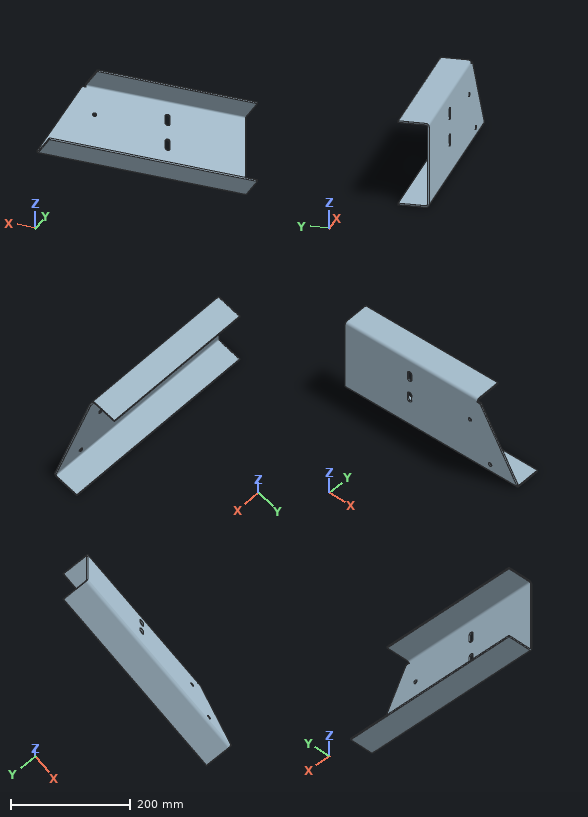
import cadquery as cq
import math

length = 377.33
depth = 53.98
height = 152.4
thickness = 3.175
inner_bend_radius = 3.175
outer_bend_radius = inner_bend_radius + thickness

rake_angle = math.radians(60)
web_bottom = outer_bend_radius
web_top = height - outer_bend_radius
web_top_length = length - (web_top - web_bottom) / math.tan(rake_angle)
web_corner_relief = outer_bend_radius
upper_flange_length = web_top_length - web_corner_relief

slot_count = 2
slot_width = 9.0
slot_length = 21.0
slot_angle = 90
slot_x = 141.7
lower_slot_z = 66.675
slot_spacing = 47.625

hole_count = 2
hole_diameter = 6.73
lower_hole_x = 318.7
lower_hole_z = 19.05
hole_spacing = 88.9


def box_between(x_range, y_range, z_range):
    """Axis-aligned block spanning the three given ranges."""
    size = [high - low for low, high in (x_range, y_range, z_range)]
    corner = (x_range[0], y_range[0], z_range[0])
    return cq.Workplane("XY").box(*size, centered=False).translate(corner)


def make_channel():
    """Full-length channel with both bends rounded inside and outside."""
    outside = box_between((0, length), (0, depth), (0, height))
    outside = outside.edges("|X and <Y").fillet(outer_bend_radius)
    inside = box_between((0, length), (thickness, depth), (thickness, height - thickness))
    inside = inside.edges("|X and <Y").fillet(inner_bend_radius)
    return outside.cut(inside)


def make_end_waste():
    """Material removed from the raked end, beyond the web's slope and the upper flange's end."""
    outline = [
        (length, web_bottom),
        (web_top_length, web_top),
        (upper_flange_length, web_top),
        (upper_flange_length, height),
        (length, height),
    ]
    return cq.Workplane("XZ").polyline(outline).close().extrude(-depth)


def make_slots():
    """Cutters for the vertical slots through the web."""
    centres = [(slot_x, lower_slot_z + i * slot_spacing) for i in range(slot_count)]
    slots = cq.Workplane("XZ").pushPoints(centres).slot2D(slot_length, slot_width, slot_angle)
    return slots.extrude(-thickness)


def make_holes():
    """Cutters for the round holes through the web."""
    step_x = -hole_spacing * math.cos(rake_angle)
    step_z = hole_spacing * math.sin(rake_angle)
    centres = [(lower_hole_x + i * step_x, lower_hole_z + i * step_z) for i in range(hole_count)]
    return cq.Workplane("XZ").pushPoints(centres).circle(hole_diameter / 2).extrude(-thickness)


result = make_channel().cut(make_end_waste()).cut(make_slots()).cut(make_holes())